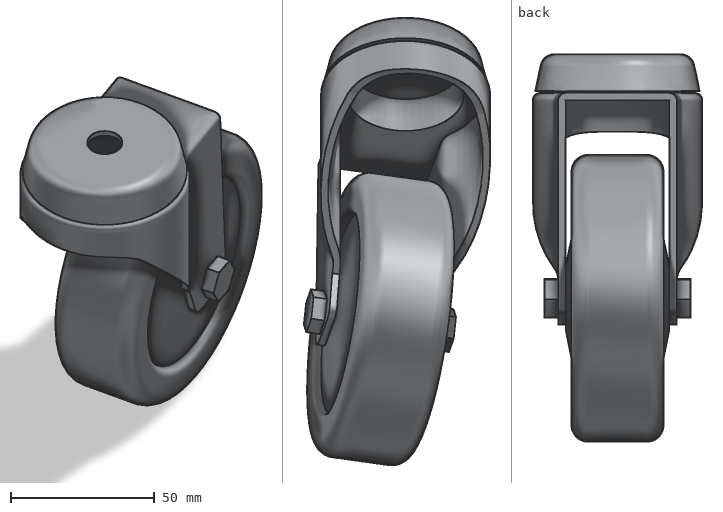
import cadquery as cq
import math


wheel_diameter = 100.0
wheel_radius = wheel_diameter / 2
wheel_half_width = 16.0
axle_y = 39.0
axle_z = wheel_radius
tyre_round = 6.1
rim_radius = 38.1
rim_round = 3.2
web_slope = 0.2
web_hub_radius = 10.8

sheet = 2.5
fork_top = 121.5
skirt_bottom = 108.0
fork_diameter = 59.0
fork_radius = fork_diameter / 2
leg_outer_x = 20.7
leg_inner_x = leg_outer_x - sheet
bend_radius = 6.0
top_edge_round = 2.5
leg_bottom = 40.9
leg_corner_round = 5.0
skirt_round = 14.8
leg_rear_top_y = 45.9
leg_rear_bottom_y = 50.2
leg_front_bottom_y = 28.9
leg_knee = (24.0, 55.4)
skirt_corner_y = -20.7
cut_margin = 6.8

total_height = 135.0
cap_bottom = 122.2
cap_taper = 12.0
cap_round = 5.0
cap_top_radius = 21.9
cap_top_thickness = 2.2
neck_radius = 22.3
bore_radius = 20.2
bolt_hole_radius = 6.1

head_across_flats = 13.2
bolt_length = 50.9
head_outer_x = bolt_length / 2
head_y = 40.0
head_tilt = 2.0


def make_wheel():
    """Solid wheel turned about the axle: rounded tyre, rim lip and shallow conical webs."""
    web_edge_radius = rim_radius - rim_round
    web_edge_x = leg_inner_x - web_slope * (web_edge_radius - web_hub_radius)
    lip_end_x = wheel_half_width - rim_round
    diagonal = math.sqrt(0.5)
    tread_half_width = wheel_half_width - tyre_round
    tyre_centre_radius = wheel_radius - tyre_round
    half_section = (
        cq.Workplane("XY")
        .moveTo(0, 0)
        .lineTo(leg_inner_x, 0)
        .lineTo(leg_inner_x, web_hub_radius)
        .lineTo(web_edge_x, web_edge_radius)
        .lineTo(lip_end_x, web_edge_radius)
        .threePointArc(
            (lip_end_x + rim_round * diagonal, rim_radius - rim_round * diagonal),
            (wheel_half_width, rim_radius),
        )
        .lineTo(wheel_half_width, tyre_centre_radius)
        .threePointArc(
            (tread_half_width + tyre_round * diagonal, tyre_centre_radius + tyre_round * diagonal),
            (tread_half_width, wheel_radius),
        )
        .lineTo(0, wheel_radius)
        .close()
    )
    half = half_section.revolve(360, (0, 0, 0), (1, 0, 0))
    return half.union(half.mirror("YZ")).translate((0, axle_y, axle_z))


def fork_plan(inset, height):
    """Keyhole-shaped prism: round front blending through concave bends into straight legs."""
    radius = fork_radius - inset
    leg_x = leg_outer_x - inset
    bend = bend_radius + inset
    rear_y = leg_rear_bottom_y + cut_margin
    bend_x = leg_x + bend
    bend_y = math.sqrt((radius + bend) ** 2 - bend_x**2)
    blend_x = bend_x * radius / (radius + bend)
    blend_y = bend_y * radius / (radius + bend)
    mid_angle = math.pi + 0.5 * math.atan2(bend_y, bend_x)
    mid_x = bend_x + bend * math.cos(mid_angle)
    mid_y = bend_y + bend * math.sin(mid_angle)
    return (
        cq.Workplane("XY")
        .moveTo(leg_x, rear_y)
        .lineTo(leg_x, bend_y)
        .threePointArc((mid_x, mid_y), (blend_x, blend_y))
        .threePointArc((0, -radius), (-blend_x, blend_y))
        .threePointArc((-mid_x, mid_y), (-leg_x, bend_y))
        .lineTo(-leg_x, rear_y)
        .close()
        .extrude(height)
    )


def fork_side_profile():
    """Side outline of the fork as a wide block: slanted skirt in front, tapering legs below."""
    front_y = -fork_radius - cut_margin
    outline = (
        cq.Workplane("YZ")
        .moveTo(leg_rear_top_y, fork_top)
        .lineTo(leg_rear_bottom_y, leg_bottom)
        .lineTo(leg_front_bottom_y, leg_bottom)
        .lineTo(*leg_knee)
        .lineTo(skirt_corner_y, skirt_bottom)
        .lineTo(front_y, skirt_bottom)
        .lineTo(front_y, fork_top)
        .close()
        .extrude(fork_radius + cut_margin, both=True)
    )
    corners = [
        (leg_rear_bottom_y, leg_bottom, leg_corner_round),
        (leg_front_bottom_y, leg_bottom, leg_corner_round),
        (skirt_corner_y, skirt_bottom, skirt_round),
    ]
    for corner_y, corner_z, corner_round in corners:
        corner_edge = cq.selectors.NearestToPointSelector((0, corner_y, corner_z))
        outline = outline.edges("|X").edges(corner_edge).fillet(corner_round)
    return outline


def make_fork():
    """Sheet fork, open below and at the rear."""
    outside = fork_plan(0, fork_top).faces(">Z").edges("not >Y").fillet(top_edge_round)
    inside = fork_plan(sheet, fork_top - sheet)
    return outside.cut(inside).intersect(fork_side_profile())


def make_cap():
    """Tapered cap with a rounded shoulder on a narrower neck."""
    taper = math.radians(cap_taper)
    round_centre_z = total_height - cap_round
    round_start_x = cap_top_radius + cap_round * math.cos(taper)
    round_start_z = round_centre_z + cap_round * math.sin(taper)
    mid_angle = 0.5 * (taper + math.pi / 2)
    round_mid = (
        cap_top_radius + cap_round * math.cos(mid_angle),
        round_centre_z + cap_round * math.sin(mid_angle),
    )
    cap_bottom_radius = round_start_x + (round_start_z - cap_bottom) * math.tan(taper)
    return (
        cq.Workplane("XZ")
        .moveTo(0, fork_top - sheet)
        .lineTo(neck_radius, fork_top - sheet)
        .lineTo(neck_radius, cap_bottom)
        .lineTo(cap_bottom_radius, cap_bottom)
        .lineTo(round_start_x, round_start_z)
        .threePointArc(round_mid, (cap_top_radius, total_height))
        .lineTo(0, total_height)
        .close()
        .revolve(360, (0, 0, 0), (0, 1, 0))
    )


def make_swivel_bore():
    """Wide bore from the inside of the fork up to the cap's top wall, then the bolt hole."""
    bore_bottom = fork_top - sheet
    bore_top = total_height - cap_top_thickness
    base = cq.Workplane("XY", origin=(0, 0, bore_bottom))
    wide_bore = base.circle(bore_radius).extrude(bore_top - bore_bottom)
    bolt_hole = base.circle(bolt_hole_radius).extrude(total_height - bore_bottom)
    return wide_bore.union(bolt_hole)


def make_bolt_heads():
    """Hexagonal head on the outer face of each leg."""
    across_corners = head_across_flats / math.cos(math.pi / 6)
    head = (
        cq.Workplane("YZ")
        .polygon(6, across_corners)
        .extrude(head_outer_x - leg_outer_x)
        .rotate((0, 0, 0), (1, 0, 0), -head_tilt)
        .translate((leg_outer_x, head_y, axle_z))
    )
    return head.union(head.mirror("YZ"))


bracket = make_fork().union(make_cap()).cut(make_swivel_bore())
result = bracket.union(make_wheel()).union(make_bolt_heads())